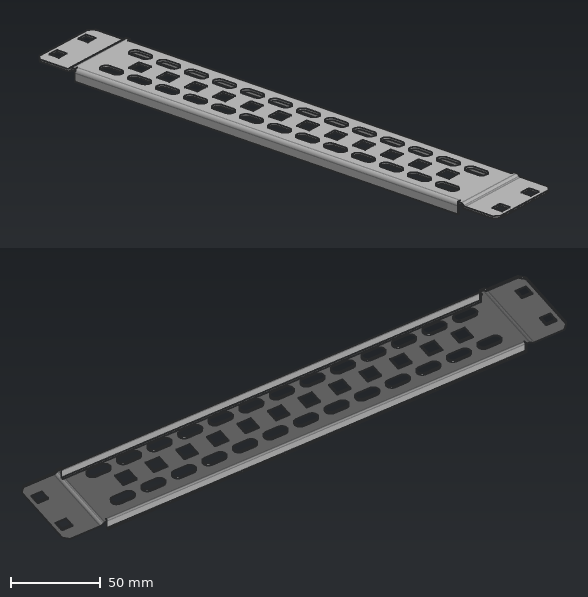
import cadquery as cq
import math

length = 330.0
width = 49.5
height = 8.0

thickness = 1.5
inner_radius = 1.0
outer_radius = inner_radius + thickness
flange_inset = 28.0
flange_length = length - 2 * flange_inset

tab_drop = thickness
tab_length = 23.0
bend_angle = math.acos(1 - tab_drop / (inner_radius + outer_radius))
tab_chamfer = 3.3

tab_hole_side = 7.0
tab_hole_inset = 6.5

row_spacing = 25.7
slot_count = 13
slot_row_span = 240.0
slot_pitch = slot_row_span / (slot_count - 1)
slot_length = 15.0
slot_width = 7.0
square_count = slot_count - 1
square_side = 9.0


def make_half_strip():
    """Full-width sheet from the middle to the +X end, stepping down to the tab; deck top at Z = 0."""
    tab_end = length / 2
    step_foot = tab_end - tab_length
    step_top = step_foot - (inner_radius + outer_radius) * math.sin(bend_angle)

    upper_joint = (
        step_top + outer_radius * math.sin(bend_angle),
        -outer_radius * (1 - math.cos(bend_angle)),
    )
    lower_joint = (
        step_top + inner_radius * math.sin(bend_angle),
        -thickness - inner_radius * (1 - math.cos(bend_angle)),
    )
    tab_bottom = -tab_drop - thickness
    half_strip = (
        cq.Workplane("XZ")
        .lineTo(step_top, 0)
        .radiusArc(upper_joint, outer_radius)
        .radiusArc((step_foot, -tab_drop), -inner_radius)
        .lineTo(tab_end, -tab_drop)
        .lineTo(tab_end, tab_bottom)
        .lineTo(step_foot, tab_bottom)
        .radiusArc(lower_joint, outer_radius)
        .radiusArc((step_top, -thickness), -inner_radius)
        .lineTo(0, -thickness)
        .close()
        .extrude(width / 2, both=True)
    )
    return half_strip.edges("|Z and >X").chamfer(tab_chamfer)


def flange_bar(bar_width, top):
    """Bar along the flanges from the flange bottoms up to Z = top."""
    return (
        cq.Workplane("XY")
        .workplane(offset=-height)
        .rect(flange_length, bar_width)
        .extrude(height + top)
    )


def make_channel():
    """Deck with a flange folded down along each long side."""
    outer = flange_bar(width, 0).edges("|X and >Z").fillet(outer_radius)
    inner = flange_bar(width - 2 * thickness, -thickness).edges("|X and >Z").fillet(inner_radius)
    return outer.cut(inner)


def cutting_plane():
    return cq.Workplane("XY").workplane(offset=-height)


def make_holes():
    """Tools for the tab holes, the two slot rows and the middle row of squares."""
    tab_holes = (
        cutting_plane()
        .rarray(length - 2 * tab_hole_inset, row_spacing, 2, 2)
        .rect(tab_hole_side, tab_hole_side)
        .extrude(2 * height)
    )
    slots = (
        cutting_plane()
        .rarray(slot_pitch, row_spacing, slot_count, 2)
        .slot2D(slot_length, slot_width)
        .extrude(2 * height)
    )
    squares = (
        cutting_plane()
        .rarray(slot_pitch, slot_pitch, square_count, 1)
        .rect(square_side, square_side)
        .extrude(2 * height)
    )
    return tab_holes.add(slots).add(squares).combine()


half_strip = make_half_strip()
strip = half_strip.union(half_strip.mirror("YZ"))

flanged_zone = cq.Workplane("XY").box(flange_length, 2 * width, 2 * height)
result = strip.cut(flanged_zone).union(make_channel()).cut(make_holes())